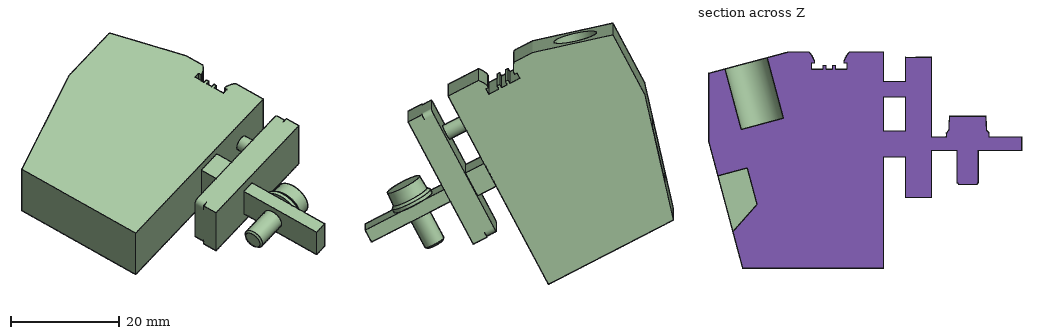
import cadquery as cq
import math

housing_length = 32.35
housing_width = 40.0
housing_height = 12.0
slant_angle = math.radians(15)
left_face_bottom = 23.4
left_face_top = 36.05
mid_z = housing_height / 2
lower_slant_run = left_face_bottom * math.tan(slant_angle)
upper_slant_run = (housing_width - left_face_top) / math.tan(slant_angle)

notch_center_x = 22.3
notch_mouth_width = 7.4
notch_tip_gap = 5.45
notch_floor_width = 6.5
notch_tip_depth = 2.1
notch_tip_height = 0.4
notch_depth = 3.2
lip_bulge = 0.07
tooth_width = 0.6
tooth_height = 0.7
tooth_pitch = 1.75

pocket_low_y = 6.75
pocket_high_y = 17.1
pocket_floor_low_y = 11.8
pocket_depth = 5.6
pocket_height = 7.45

hole_diameter = 8.05
hole_depth = 11.6
hole_center_y = 37.9

gap_length = 4.0
pin_diameter = 2.9
pin_center_y = 33.1
neck_width = 4.85
neck_height = 8.55
neck_center_y = 23.0
flange_front_thickness = 1.95
flange_back_thickness = 2.9
flange_width = 26.0
flange_height = 11.0
flange_center_y = 26.05
flange_corner_radius = 1.05

overall_length = 57.85
tab_thickness = 2.55
tab_height = 6.5
tab_center_y = 23.05
screw_x = 47.85
shank_diameter = 4.0
shank_length = 6.3
shank_chamfer = 0.35
washer_diameter = 8.0
washer_rim_height = 0.7
washer_height = 1.2
head_base_diameter = 7.05
head_top_diameter = 6.75
head_height = 3.8


def x_block(start_x, length, center_y, width, height):
    """Block running along +X from start_x, centred on mid_z."""
    return (
        cq.Workplane("XY")
        .box(length, width, height, centered=(False, True, True))
        .translate((start_x, center_y, mid_z))
    )


def make_housing():
    outline = [
        (lower_slant_run, 0),
        (housing_length, 0),
        (housing_length, housing_width),
        (upper_slant_run, housing_width),
        (0, left_face_top),
        (0, left_face_bottom),
    ]
    return cq.Workplane("XY").polyline(outline).close().extrude(housing_height)


def make_notch():
    """Undercut notch with bulging lips; two small teeth stay on its floor."""
    half_mouth = notch_mouth_width / 2
    half_gap = notch_tip_gap / 2
    half_floor = notch_floor_width / 2
    lip_drop = notch_tip_depth - notch_tip_height
    lip_mid_x = (half_mouth + half_gap) / 2 - lip_bulge
    lip_mid_y = -lip_drop / 2 + lip_bulge
    notch = (
        cq.Workplane("XY")
        .moveTo(-half_mouth, 0)
        .threePointArc((-lip_mid_x, lip_mid_y), (-half_gap, -lip_drop))
        .lineTo(-half_gap, -notch_tip_depth)
        .lineTo(-half_floor, -notch_tip_depth)
        .lineTo(-half_floor, -notch_depth)
        .lineTo(half_floor, -notch_depth)
        .lineTo(half_floor, -notch_tip_depth)
        .lineTo(half_gap, -notch_tip_depth)
        .lineTo(half_gap, -lip_drop)
        .threePointArc((lip_mid_x, lip_mid_y), (half_mouth, 0))
        .close()
        .extrude(housing_height)
    )
    teeth = (
        cq.Workplane("XY")
        .pushPoints([(side * tooth_pitch / 2, tooth_height / 2 - notch_depth) for side in (-1, 1)])
        .rect(tooth_width, tooth_height)
        .extrude(housing_height)
    )
    return notch.cut(teeth).translate((notch_center_x, housing_width, 0))


def lower_slant_x(y):
    return (left_face_bottom - y) * math.tan(slant_angle)


def make_pocket():
    """Floor parallel to the slanted face, upper wall square to it, lower wall sloping."""
    floor_offset_x = pocket_depth / math.cos(slant_angle)
    floor_high_y = pocket_high_y + pocket_depth * math.sin(slant_angle)
    outline = [
        (lower_slant_x(pocket_low_y), pocket_low_y),
        (lower_slant_x(pocket_floor_low_y) + floor_offset_x, pocket_floor_low_y),
        (lower_slant_x(floor_high_y) + floor_offset_x, floor_high_y),
        (lower_slant_x(pocket_high_y), pocket_high_y),
    ]
    return (
        cq.Workplane("XY", origin=(0, 0, mid_z))
        .polyline(outline)
        .close()
        .extrude(pocket_height / 2, both=True)
    )


def make_hole():
    hole_center_x = (hole_center_y - left_face_top) / math.tan(slant_angle)
    inward = cq.Vector(math.sin(slant_angle), -math.cos(slant_angle), 0)
    return cq.Workplane(
        cq.Solid.makeCylinder(
            hole_diameter / 2, hole_depth, cq.Vector(hole_center_x, hole_center_y, mid_z), inward
        )
    )


def make_flange(start_x):
    front = x_block(start_x, flange_front_thickness, flange_center_y, flange_width, flange_height)
    front = front.edges("|X").fillet(flange_corner_radius)
    back_x = start_x + flange_front_thickness
    back = x_block(back_x, flange_back_thickness, flange_center_y, flange_width, flange_height)
    return front.union(back)


def make_screw():
    """Screw revolved about a Y axis, with its seat on the +Y face of the tab."""
    shank_radius = shank_diameter / 2
    shank_end = -tab_thickness - shank_length
    profile = [
        (0, shank_end),
        (shank_radius - shank_chamfer, shank_end),
        (shank_radius, shank_end + shank_chamfer),
        (shank_radius, 0),
        (washer_diameter / 2, 0),
        (washer_diameter / 2, washer_rim_height),
        (head_base_diameter / 2, washer_height),
        (head_top_diameter / 2, head_height),
        (0, head_height),
    ]
    screw = cq.Workplane("XY").polyline(profile).close().revolve(360, (0, 0, 0), (0, 1, 0))
    return screw.translate((screw_x, tab_center_y + tab_thickness / 2, mid_z))


housing = make_housing().cut(make_notch()).cut(make_pocket()).cut(make_hole())

flange_x = housing_length + gap_length
tab_x = flange_x + flange_front_thickness + flange_back_thickness
pin = (
    cq.Workplane("YZ", origin=(housing_length, pin_center_y, mid_z))
    .circle(pin_diameter / 2)
    .extrude(gap_length)
)
neck = x_block(housing_length, gap_length, neck_center_y, neck_width, neck_height)
tab = x_block(tab_x, overall_length - tab_x, tab_center_y, tab_thickness, tab_height)

result = housing.union(pin).union(neck).union(make_flange(flange_x)).union(tab).union(make_screw())